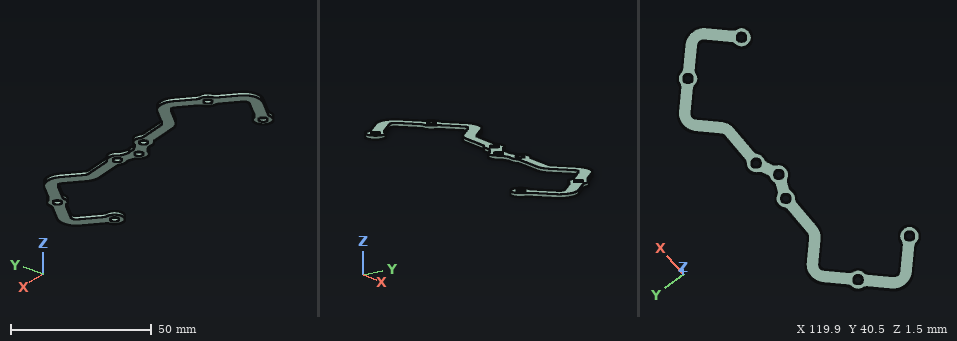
import cadquery as cq
import math

thickness = 1.5
overall_length = 119.93
overall_depth = 40.45

strip_width = 5.0
lug_diameter = 7.5
hole_diameter = 3.2
lug_blend_radius = 2.0
inner_bend_radius = 2.0
outer_bend_radius = inner_bend_radius + strip_width
bend_radius = (inner_bend_radius + outer_bend_radius) / 2

middle_hole = (0, 0)
bridge_hole = (8.3, 3.65)
bridge_end_x = 24.8
arm_hole_x = 47.5
tip_hole_x = 46.92

bend_reach = strip_width / 2 * math.sqrt(2) - outer_bend_radius * (math.sqrt(2) - 1)

elbow_x = overall_length / 2 - bend_reach
peak_above_tip = overall_depth - lug_diameter / 2 - bend_reach
elbow_above_tip = elbow_x - tip_hole_x
peak_x = elbow_x - (peak_above_tip - elbow_above_tip)
peak_y = bridge_hole[1] + (peak_x - bridge_end_x)
tip_y = peak_y - peak_above_tip

bridge_end = (bridge_end_x, bridge_hole[1])
peak = (peak_x, peak_y)
elbow = (elbow_x, tip_y + elbow_above_tip)
arm_hole = (arm_hole_x, peak_y - (arm_hole_x - peak_x))
tip_hole = (tip_hole_x, tip_y)

arm_centreline = [bridge_hole, bridge_end, peak, elbow, tip_hole]
right_holes = [bridge_hole, arm_hole, tip_hole]
left_holes = [(-x, y) for x, y in right_holes]
hole_points = [middle_hole] + right_holes + left_holes


def toward(start, end, distance):
    """Point at a distance from start, on the way to end."""
    share = distance / math.dist(start, end)
    return (start[0] + share * (end[0] - start[0]), start[1] + share * (end[1] - start[1]))


def midpoint(start, end):
    return ((start[0] + end[0]) / 2, (start[1] + end[1]) / 2)


def heading(start, end):
    return math.atan2(end[1] - start[1], end[0] - start[0])


def leg(start, end):
    """Square-ended straight piece of strip between two centreline points."""
    return (
        cq.Workplane("XY")
        .center(*midpoint(start, end))
        .transformed(rotate=(0, 0, math.degrees(heading(start, end))))
        .rect(math.dist(start, end), strip_width)
        .extrude(thickness)
    )


def bend(before, corner, after):
    """Curved piece of strip round a corner, with the centreline points where it starts and ends."""
    turn = abs(heading(corner, after) - heading(before, corner))
    tangent_length = bend_radius * math.tan(turn / 2)
    entry = toward(corner, before, tangent_length)
    leave = toward(corner, after, tangent_length)
    centre = toward(corner, midpoint(entry, leave), bend_radius / math.cos(turn / 2))
    inner_entry, inner_middle, inner_leave = [
        toward(centre, point, inner_bend_radius) for point in (entry, corner, leave)
    ]
    outer_entry, outer_middle, outer_leave = [
        toward(centre, point, outer_bend_radius) for point in (entry, corner, leave)
    ]
    piece = (
        cq.Workplane("XY")
        .moveTo(*inner_entry)
        .threePointArc(inner_middle, inner_leave)
        .lineTo(*outer_leave)
        .threePointArc(outer_middle, outer_entry)
        .close()
        .extrude(thickness)
    )
    return piece, entry, leave


def bent_strip(centreline):
    """Strip of constant width along a centreline, with concentric rounded bends."""
    pieces = []
    leg_start = centreline[0]
    for before, corner, after in zip(centreline, centreline[1:], centreline[2:]):
        piece, entry, leave = bend(before, corner, after)
        pieces += [leg(leg_start, entry), piece]
        leg_start = leave
    strip = leg(leg_start, centreline[-1])
    for piece in pieces:
        strip = strip.union(piece)
    return strip


def discs(diameter):
    """Full-thickness discs, one on every hole position."""
    return cq.Workplane("XY").pushPoints(hole_points).circle(diameter / 2).extrude(thickness)


def blend_lugs(plate):
    """Round the inside corners where the lugs meet the strip."""
    tolerance = 1e-3

    def on_lug_rim(edge):
        place = edge.Center()
        return any(
            abs(math.dist((place.x, place.y), point) - lug_diameter / 2) < tolerance
            for point in hole_points
        )

    corners = [edge for edge in plate.edges("|Z").vals() if on_lug_rim(edge)]
    return plate.newObject(corners).fillet(lug_blend_radius)


half_strip = bent_strip(arm_centreline).union(leg(middle_hole, bridge_hole))
strip = half_strip.union(half_strip.mirror("YZ"))
plate = strip.union(discs(lug_diameter)).clean()
result = blend_lugs(plate).cut(discs(hole_diameter))